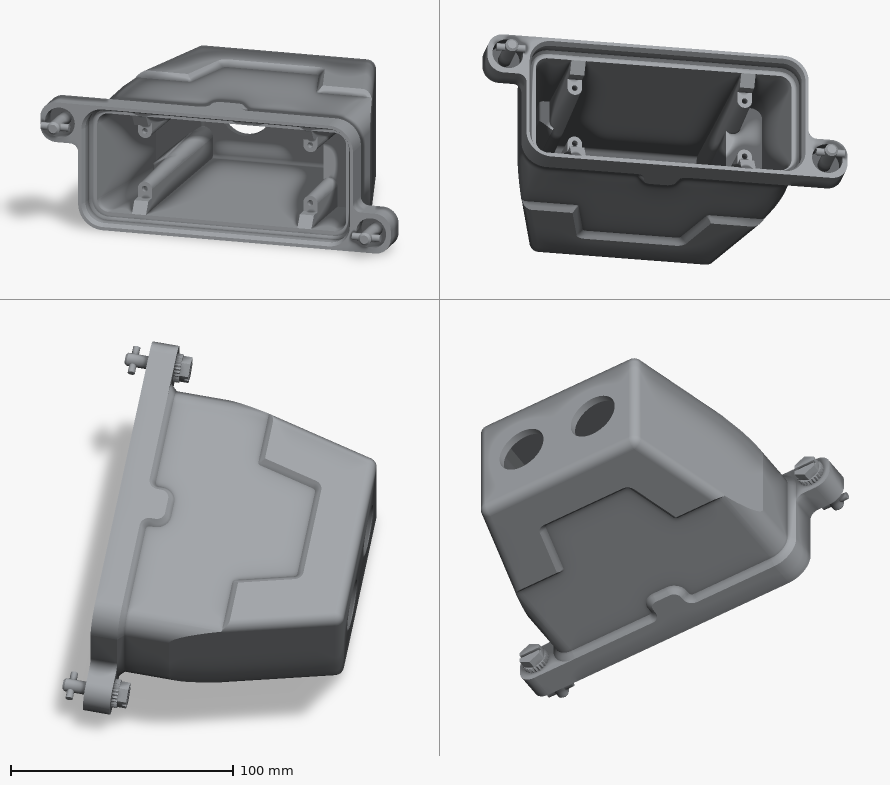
import cadquery as cq
import math


LENGTH = 165.0
HEIGHT = 58.0
HOOD_DEPTH = 111.0

FLANGE_LENGTH = 129.4
FLANGE_DEPTH = 12.2
FLANGE_RADIUS = 11.5
BEVEL = 2.8
BEVEL_ANGLE = 45
BEVEL_TOP = FLANGE_DEPTH + BEVEL

HOOD_LENGTH = FLANGE_LENGTH - 2 * BEVEL
HOOD_HEIGHT = HEIGHT - 2 * BEVEL
HOOD_RADIUS = FLANGE_RADIUS - BEVEL
TAPER_START = 35.5
TAPER_ANGLE = 15
TAPER_SLOPE = math.tan(math.radians(TAPER_ANGLE))

BLOCK_START = 58.4
BLOCK_FILLET = 4.3
PANEL_TOP = 86.3
PANEL_HALF_WIDTH = 22.1
PANEL_CORNER = 1.6

PAD_HALF_WIDTH = 10.2
PAD_TOP = 25.0
PAD_RADIUS = 6.6
PAD_FLARE = 1.6
PAD_ROOT_Y = 1.6

RIM_WALL = 1.5
SEAT_STEP = 1.2
SEAT_MOUTH_DEPTH = 2.8
SEAT_WALL_DEPTH = 5.1
SEAT_FOOT_DEPTH = 1.5
SEAT_DEPTH = SEAT_MOUTH_DEPTH + SEAT_WALL_DEPTH + SEAT_FOOT_DEPTH

CAVITY_HALF_LENGTH = 58.5
CAVITY_HEIGHT = 46.2
CAVITY_RADIUS = 5.5
CAVITY_FLOOR = 107.4
FLOOR_FILLET = 1.6
LEFT_BEND_X = -49.2
LEFT_BEND_Y = 69.3
LEFT_FLOOR_X = -39.1
SHELF_Y = 47.8
SHELF_OUTER_X = 52.6
SHELF_INNER_X = 36.1

BOSS_X = 39.0
BOSS_Z = 13.5
BOSS_RADIUS = 3.3
BOSS_FACE = 18.6
BOSS_DRAFT = 1.0
RAMP_Z = 17.7
RAMP_TOP_Y = 13.2
SCREW_HOLE = 2.6
SCREW_HOLE_DEPTH = 9.9
RIB_FACE = 57.8
RIB_OUTER_X = 47.5
RIB_OUTER_Z = 13.5
RIB_INNER_X = 41.5
RIB_INNER_Z = 9.2
RIB_FILLET = 1.2

ENTRY_DIAMETER = 23.5
ENTRY_X = 19.0

EAR_HEIGHT = 18.6
EAR_RADIUS = 7.5
EAR_FILLET = 3.8
PIN_X = 73.3
PIN_Z = (HEIGHT - EAR_HEIGHT) / 2
EAR_BORE = 14.0
EAR_BORE_DEPTH = 8.2

SHAFT_DIAMETER = 6.0
SHAFT_REACH = 10.9
SHAFT_CHAMFER = 1.0
BAR_DIAMETER = 3.3
BAR_LENGTH = 13.0
BAR_Y = -7.0
WASHER_DIAMETER = 13.0
WASHER_THICKNESS = 2.6
WASHER_TEETH = 24
TOOTH_DEPTH = 0.7
HEAD_ACROSS_FLATS = 10.2
HEAD_SIDES = 6
HEAD_THICKNESS = 4.1
SLOT_WIDTH = 1.6
SLOT_DEPTH = 1.8


def level(y):
    """Work plane square to the Y axis that extrudes towards +Y (its second axis is -Z)."""
    return cq.Workplane(cq.Plane(origin=(0, y, 0), xDir=(1, 0, 0), normal=(0, 1, 0)))


def rounded_rect(length, height, radius):
    return cq.Sketch().rect(length, height).vertices().fillet(radius)


def slab(y, depth, length, height, radius, inset=0.0):
    """Rounded slab from y to y + depth whose sides lean in by inset over its depth."""
    lean = math.degrees(math.atan(inset / depth))
    return level(y).placeSketch(rounded_rect(length, height, radius)).extrude(depth, taper=lean)


def half_turn(shape):
    """The same shape turned half a turn about the Y axis."""
    return shape.rotate((0, 0, 0), (0, 1, 0), 180)


def both_faces(shape):
    """A shape on the +Z face together with its twin on the -Z face."""
    return shape.union(shape.mirror("XY"))


def plan_prism(points, height):
    """Prism with an XY outline, centred on Z = 0."""
    return cq.Workplane("XY").polyline(points).close().extrude(height / 2, both=True)


def taper_x(y):
    """Half length of the tapered hood at height y."""
    return HOOD_LENGTH / 2 - (y - TAPER_START) * TAPER_SLOPE


def mirrored_outline(right_points):
    """Closed outline from its right half, listed from bottom to top."""
    return right_points + [(-x, y) for x, y in reversed(right_points)]


def make_flange():
    flange = slab(0, FLANGE_DEPTH, FLANGE_LENGTH, HEIGHT, FLANGE_RADIUS)
    bevel = slab(FLANGE_DEPTH, BEVEL, FLANGE_LENGTH, HEIGHT, FLANGE_RADIUS, BEVEL)
    return flange.union(bevel)


def make_ear():
    """Left ear, flush with the upper side of the flange."""
    ear_length = (LENGTH - FLANGE_LENGTH) / 2 + FLANGE_RADIUS
    return (
        level(0)
        .center(-(LENGTH - ear_length) / 2, -PIN_Z)
        .rect(ear_length, EAR_HEIGHT)
        .extrude(FLANGE_DEPTH)
        .edges("|Y and <X")
        .fillet(EAR_RADIUS)
    )


def make_lower_hood():
    hood = slab(0, BLOCK_START, HOOD_LENGTH, HOOD_HEIGHT, HOOD_RADIUS)
    outline = mirrored_outline([
        (HOOD_LENGTH / 2, 0),
        (HOOD_LENGTH / 2, TAPER_START),
        (taper_x(BLOCK_START), BLOCK_START),
    ])
    return hood.intersect(plan_prism(outline, HEIGHT))


def make_panel():
    """Sunken panel of the +Z face, open to both ends of the hood; its walls lean outwards."""
    foot_half_width = PANEL_HALF_WIDTH + (PANEL_TOP - BLOCK_START) * TAPER_SLOPE
    outline = mirrored_outline([
        (HOOD_LENGTH, 0),
        (HOOD_LENGTH, BLOCK_START),
        (foot_half_width, BLOCK_START),
        (PANEL_HALF_WIDTH, PANEL_TOP),
    ])
    sketch = cq.Sketch().polygon(outline + outline[:1]).vertices().fillet(PANEL_CORNER)
    floor = cq.Workplane("XY", origin=(0, 0, HOOD_HEIGHT / 2)).placeSketch(sketch)
    return floor.extrude(BEVEL, taper=-BEVEL_ANGLE)


def make_block():
    outline = mirrored_outline([(taper_x(BLOCK_START), BLOCK_START), (taper_x(HOOD_DEPTH), HOOD_DEPTH)])
    block = plan_prism(outline, HEIGHT)
    block = block.faces("not(<Y or <Z or >Z)").edges("not(<Y)").fillet(BLOCK_FILLET)
    return block.cut(both_faces(make_panel()))


def make_pad():
    """Thumb pad of the +Z face, flared into the flange bevel, with 45 degree walls."""
    cos45 = math.sqrt(0.5)
    flare_x = PAD_HALF_WIDTH + PAD_FLARE
    flare_mid = (flare_x - PAD_FLARE * cos45, BEVEL_TOP + PAD_FLARE * (1 - cos45))
    shoulder_x = PAD_HALF_WIDTH - PAD_RADIUS
    shoulder_y = PAD_TOP - PAD_RADIUS
    shoulder_mid = (shoulder_x + PAD_RADIUS * cos45, shoulder_y + PAD_RADIUS * cos45)
    return (
        cq.Workplane("XY", origin=(0, 0, HOOD_HEIGHT / 2))
        .moveTo(flare_x + PAD_RADIUS, PAD_ROOT_Y)
        .lineTo(flare_x + PAD_RADIUS, BEVEL_TOP)
        .lineTo(flare_x, BEVEL_TOP)
        .threePointArc(flare_mid, (PAD_HALF_WIDTH, BEVEL_TOP + PAD_FLARE))
        .lineTo(PAD_HALF_WIDTH, shoulder_y)
        .threePointArc(shoulder_mid, (shoulder_x, PAD_TOP))
        .lineTo(-shoulder_x, PAD_TOP)
        .threePointArc((-shoulder_mid[0], shoulder_mid[1]), (-PAD_HALF_WIDTH, shoulder_y))
        .lineTo(-PAD_HALF_WIDTH, BEVEL_TOP + PAD_FLARE)
        .threePointArc((-flare_mid[0], flare_mid[1]), (-flare_x, BEVEL_TOP))
        .lineTo(-flare_x - PAD_RADIUS, BEVEL_TOP)
        .lineTo(-flare_x - PAD_RADIUS, PAD_ROOT_Y)
        .close()
        .extrude(BEVEL, taper=BEVEL_ANGLE)
    )


def make_seat():
    length = FLANGE_LENGTH - 2 * RIM_WALL
    height = HEIGHT - 2 * RIM_WALL
    radius = FLANGE_RADIUS - RIM_WALL
    mouth = slab(0, SEAT_MOUTH_DEPTH, length, height, radius, SEAT_STEP)
    inner = (length - 2 * SEAT_STEP, height - 2 * SEAT_STEP, radius - SEAT_STEP)
    wall = slab(SEAT_MOUTH_DEPTH, SEAT_WALL_DEPTH, *inner)
    foot = slab(SEAT_MOUTH_DEPTH + SEAT_WALL_DEPTH, SEAT_FOOT_DEPTH, *inner, SEAT_STEP)
    return mouth.union(wall).union(foot)


def make_boss(side):
    """Upper screw boss at the left (side = -1) or right (side = 1), drafted, with a ramp to the wall."""
    x = side * BOSS_X
    wall_z = CAVITY_HEIGHT / 2
    post = (
        level(BOSS_FACE)
        .center(x, 0)
        .moveTo(-BOSS_RADIUS, -wall_z)
        .lineTo(-BOSS_RADIUS, -BOSS_Z)
        .threePointArc((0, BOSS_RADIUS - BOSS_Z), (BOSS_RADIUS, -BOSS_Z))
        .lineTo(BOSS_RADIUS, -wall_z)
        .close()
        .extrude(CAVITY_FLOOR - BOSS_FACE, taper=-BOSS_DRAFT)
    )
    ramp = (
        cq.Workplane("YZ", origin=(x, 0, 0))
        .polyline([
            (SEAT_DEPTH, wall_z),
            (RAMP_TOP_Y, RAMP_Z),
            (BOSS_FACE, RAMP_Z),
            (BOSS_FACE, wall_z),
        ])
        .close()
        .extrude(BOSS_RADIUS, both=True)
    )
    hole = level(BOSS_FACE).center(x, -BOSS_Z).circle(SCREW_HOLE / 2).extrude(SCREW_HOLE_DEPTH)
    return post.union(ramp).cut(hole)


def make_rib():
    """Rib that ties the upper left boss to the tapered wall."""
    wall_z = CAVITY_HEIGHT / 2
    rib = (
        level(RIB_FACE)
        .polyline([
            (-RIB_OUTER_X, -wall_z),
            (-RIB_OUTER_X, -RIB_OUTER_Z),
            (-RIB_INNER_X, -RIB_INNER_Z),
            (-BOSS_X, -BOSS_Z),
            (-BOSS_X, -wall_z),
        ])
        .close()
        .extrude(CAVITY_FLOOR - RIB_FACE)
    )
    return rib.edges("<X and <Y").fillet(RIB_FILLET)


def make_cavity():
    outline = [
        (-CAVITY_HALF_LENGTH, SEAT_DEPTH),
        (LEFT_BEND_X, LEFT_BEND_Y),
        (LEFT_FLOOR_X, CAVITY_FLOOR),
        (SHELF_OUTER_X, CAVITY_FLOOR),
        (SHELF_OUTER_X, SHELF_Y),
        (CAVITY_HALF_LENGTH, SEAT_DEPTH),
    ]
    room = plan_prism(outline, CAVITY_HEIGHT)
    room = room.faces("<Z or >Z").edges("not |X").fillet(CAVITY_RADIUS)
    shelf = cq.Workplane("XY").box(
        SHELF_OUTER_X - SHELF_INNER_X, CAVITY_FLOOR - SHELF_Y, CAVITY_HEIGHT, centered=(False, False, True)
    )
    room = room.cut(shelf.translate((SHELF_INNER_X, SHELF_Y, 0)))
    room = room.faces(">Y").edges().fillet(FLOOR_FILLET)
    fittings = make_boss(-1).union(make_boss(1)).union(make_rib())
    return room.cut(both_faces(fittings))


def make_pin_hole():
    """Stepped hole of the left ear: wide at the mating face, a close fit on the pin shaft behind."""
    axis = level(0).center(-PIN_X, -PIN_Z)
    bore = axis.circle(EAR_BORE / 2).extrude(EAR_BORE_DEPTH)
    return bore.union(axis.circle(SHAFT_DIAMETER / 2).extrude(FLANGE_DEPTH, combine=False))


def make_housing():
    ear = make_ear()
    housing = make_flange().union(ear).union(half_turn(ear))
    for side in (-1, 1):
        inner_corner = (side * FLANGE_LENGTH / 2, FLANGE_DEPTH / 2, side * (EAR_HEIGHT - HEIGHT / 2))
        housing = housing.edges(cq.selectors.NearestToPointSelector(inner_corner)).fillet(EAR_FILLET)
    housing = housing.union(make_lower_hood()).union(make_block()).union(both_faces(make_pad()))
    housing = housing.cut(make_seat()).cut(make_cavity())
    entries = level(0).pushPoints([(-ENTRY_X, 0), (ENTRY_X, 0)]).circle(ENTRY_DIAMETER / 2).extrude(HOOD_DEPTH)
    housing = housing.cut(entries)
    pin_hole = make_pin_hole()
    return housing.cut(pin_hole).cut(half_turn(pin_hole))


def make_washer():
    """Lock washer with pointed teeth around its rim."""
    points = []
    for step in range(2 * WASHER_TEETH):
        angle = math.pi * step / WASHER_TEETH
        radius = WASHER_DIAMETER / 2 - TOOTH_DEPTH * (step % 2)
        points.append((radius * math.cos(angle), radius * math.sin(angle)))
    return level(FLANGE_DEPTH).polyline(points).close().extrude(WASHER_THICKNESS)


def make_pin():
    """Upper left locking pin: shaft, cross bar, washer and slotted hexagon head."""
    shaft = level(-SHAFT_REACH).circle(SHAFT_DIAMETER / 2).extrude(SHAFT_REACH + FLANGE_DEPTH)
    shaft = shaft.faces("<Y").chamfer(SHAFT_CHAMFER)
    bar = cq.Workplane("YZ", origin=(0, BAR_Y, 0)).circle(BAR_DIAMETER / 2).extrude(BAR_LENGTH / 2, both=True)
    head_base = FLANGE_DEPTH + WASHER_THICKNESS
    across_corners = HEAD_ACROSS_FLATS / math.cos(math.pi / HEAD_SIDES)
    head = level(head_base).polygon(HEAD_SIDES, across_corners).extrude(HEAD_THICKNESS)
    head = head.rotate((0, 0, 0), (0, 1, 0), 180 / HEAD_SIDES)
    slot_floor = level(head_base + HEAD_THICKNESS - SLOT_DEPTH)
    slot = slot_floor.rect(2 * across_corners, SLOT_WIDTH).extrude(SLOT_DEPTH)
    pin = shaft.union(bar).union(make_washer()).union(head.cut(slot))
    return pin.translate((-PIN_X, 0, PIN_Z))


housing = make_housing()
pins = []
for angle in (0, 180):
    pins.append(make_pin().rotate((0, 0, 0), (0, 1, 0), angle))

result = cq.Compound.makeCompound([housing.solids().val(), *[pin.solids().val() for pin in pins]])